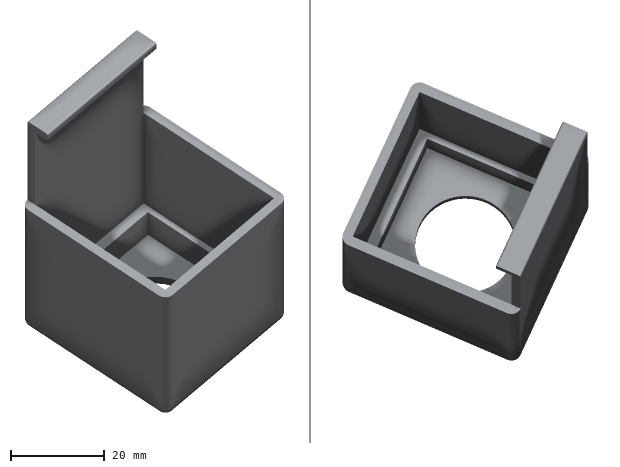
import cadquery as cq

length = 41.4
width = 39.4
total_height = 63.1
box_height = 38.1
wall = 2.15
floor_thickness = 2.15

outer_radius = 2.15

step_height = 7.2
step_width_x = 2.4
step_width_y = 1.3

hole_diameter = 21.5

lip_reach = 5.8
lip_thickness = 2.2
lip_radius = 0.5

cavity_length = length - 2 * wall
cavity_width = width - 2 * wall
plate_width = width - 2 * outer_radius


def make_box():
    """Open box with a stepped cavity and a round hole in its floor."""
    body = cq.Workplane("XY").box(length, width, box_height, centered=(True, True, False))
    body = body.edges("|Z or <Z").fillet(outer_radius)
    step_top = floor_thickness + step_height
    cavity = (
        cq.Workplane("XY", origin=(0, 0, step_top))
        .rect(cavity_length, cavity_width)
        .extrude(box_height - step_top)
    )
    lower_cavity = (
        cq.Workplane("XY", origin=(0, 0, floor_thickness))
        .rect(cavity_length - 2 * step_width_x, cavity_width - 2 * step_width_y)
        .extrude(step_height)
    )
    hole = cq.Workplane("XY").circle(hole_diameter / 2).extrude(floor_thickness)
    return body.cut(cavity).cut(lower_cavity).cut(hole)


def make_hooked_plate():
    """Plate rising from the -X wall, with a rounded lip turned inward at its top."""
    left = -length / 2
    plate_base = box_height - wall
    lip_bottom = total_height - lip_thickness
    profile = [
        (left, plate_base),
        (left + wall, plate_base),
        (left + wall, lip_bottom),
        (left + lip_reach, lip_bottom),
        (left + lip_reach, total_height),
        (left, total_height),
    ]
    plate = (
        cq.Workplane("XZ", origin=(0, plate_width / 2, 0))
        .polyline(profile)
        .close()
        .extrude(plate_width)
    )
    plate = plate.faces(">X").edges("|Y").fillet(lip_radius)
    return plate.faces("<X").edges(">Z").fillet(lip_radius)


result = make_box().union(make_hooked_plate())